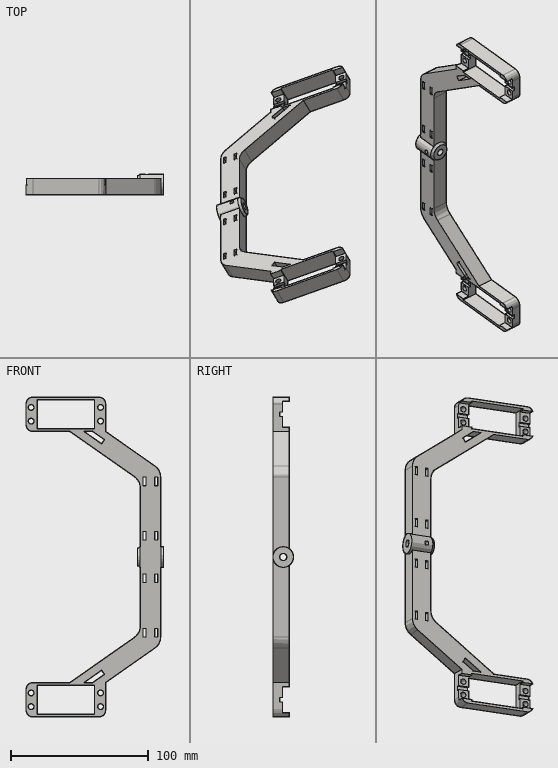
import cadquery as cq
import math

total_height = 232.56
depth = 12.0

frame_width = 58.0
frame_height = 25.0
frame_corner_radius = 5.0
window_width = 41.5
window_height = 21.0
frame_top = total_height / 2
frame_bottom = frame_top - frame_height
frame_center_x = frame_width / 2
frame_center_z = frame_top - frame_height / 2

hole_diameter = 4.0
hole_spacing_x = 50.5
hole_spacing_z = 10.0
side_bar_depth = 7.0
recess_height = 18.8
notch_depth = 2.0
notch_height = 3.0

arm_width = 15.0
arm_outer_x = 98.0
arm_inner_x = arm_outer_x - arm_width
arm_slope = math.radians(35.0)
bend_radius = 10.0

slant_slot_width = 3.5
slant_slot_offset = 5.5
slant_slot_end_x = 57.0

strap_slot_width = 2.0
strap_slot_height = 6.0
strap_slot_spacing_x = 8.5
strap_slot_levels = (15.5, 55.0)

boss_diameter = 15.0
boss_projection = 2.0
boss_tip_diameter = 12.5
bore_diameter = 5.0

screw_hole_diameter = 3.0
screw_hole_x = 87.8


def slab(width, height, y_start, y_end, x, z):
    """Box centred at (x, z) that spans y_start to y_end."""
    return cq.Workplane("XY").box(width, y_end - y_start, height).translate((x, (y_start + y_end) / 2, z))


def extrude_outline(points):
    """Closed XZ outline extruded over the full depth."""
    return cq.Workplane("XZ").polyline(points).close().extrude(-depth)


def frame_body():
    body = slab(frame_width, frame_height, 0, depth, frame_center_x, frame_center_z)
    return body.edges("|Y and (<X or >Z)").fillet(frame_corner_radius)


def cut_frame(body):
    window = slab(window_width, window_height, 0, depth, frame_center_x, frame_center_z)
    recess = slab(frame_width, recess_height, side_bar_depth, depth, frame_center_x, frame_center_z)
    notch_floor = side_bar_depth - notch_depth
    notch = slab(frame_width, notch_height, notch_floor, side_bar_depth, frame_center_x, frame_center_z)
    holes = (
        cq.Workplane("XZ", origin=(frame_center_x, 0, frame_center_z))
        .rarray(hole_spacing_x, hole_spacing_z, 2, 2)
        .circle(hole_diameter / 2)
        .extrude(-depth)
    )
    return body.cut(window).cut(recess).cut(notch).cut(holes)


def slope_z(x, offset):
    """Height at x of a line parallel to the slanted arm, offset inward from its outer edge."""
    return frame_bottom - (x - frame_width) * math.tan(arm_slope) - offset / math.cos(arm_slope)


def slope_x_at_frame(offset):
    """X where such a line meets the underside of the frame."""
    return frame_width - offset / math.sin(arm_slope)


def half_arm():
    arm = extrude_outline([
        (slope_x_at_frame(arm_width), frame_bottom),
        (frame_width, frame_bottom),
        (arm_outer_x, slope_z(arm_outer_x, 0)),
        (arm_outer_x, 0),
        (arm_inner_x, 0),
        (arm_inner_x, slope_z(arm_inner_x, arm_width)),
    ])
    outer_bend = cq.selectors.NearestToPointSelector((arm_outer_x, depth / 2, slope_z(arm_outer_x, 0)))
    inner_bend = cq.selectors.NearestToPointSelector((arm_inner_x, depth / 2, slope_z(arm_inner_x, arm_width)))
    return arm.edges(outer_bend).fillet(bend_radius).edges(inner_bend).fillet(bend_radius)


def slant_slot():
    near = slant_slot_offset
    far = slant_slot_offset + slant_slot_width
    end_z = slope_z(slant_slot_end_x, near)
    far_end_x = slant_slot_end_x - slant_slot_width * math.sin(arm_slope)
    return extrude_outline([
        (slope_x_at_frame(far), frame_bottom),
        (slope_x_at_frame(near), frame_bottom),
        (slant_slot_end_x, end_z),
        (far_end_x, slope_z(far_end_x, far)),
    ])


def cut_strap_slots(body):
    middle_x = (arm_inner_x + arm_outer_x) / 2
    for level in strap_slot_levels:
        for side in (-1, 1):
            x = middle_x + side * strap_slot_spacing_x / 2
            body = body.cut(slab(strap_slot_width, strap_slot_height, 0, depth, x, level))
    return body


def add_boss(body):
    """Barrel through the upright with a conical tip on the inner side, bored through."""
    tip_x = arm_inner_x - boss_projection
    length = arm_width + 2 * boss_projection
    profile = [
        (tip_x, 0),
        (tip_x, boss_tip_diameter / 2),
        (arm_inner_x, boss_diameter / 2),
        (tip_x + length, boss_diameter / 2),
        (tip_x + length, 0),
    ]
    boss = cq.Workplane("XY").polyline(profile).close().revolve(360, (0, 0, 0), (1, 0, 0))
    bore = cq.Workplane("YZ", origin=(tip_x, 0, 0)).circle(bore_diameter / 2).extrude(length)
    to_boss_axis = (0, boss_diameter / 2, 0)
    return body.union(boss.translate(to_boss_axis)).cut(bore.translate(to_boss_axis))


def set_screw_hole():
    """Radial hole from the bore axis out through the +Y side of the boss."""
    axis_y = boss_diameter / 2
    start = cq.Workplane("XZ", origin=(screw_hole_x, axis_y, 0))
    return start.circle(screw_hole_diameter / 2).extrude(axis_y - boss_diameter)


upper_half = cut_frame(frame_body()).union(half_arm()).cut(slant_slot())
upper_half = cut_strap_slots(upper_half)
lower_half = upper_half.mirror("XY")
result = add_boss(upper_half.union(lower_half)).cut(set_screw_hole())